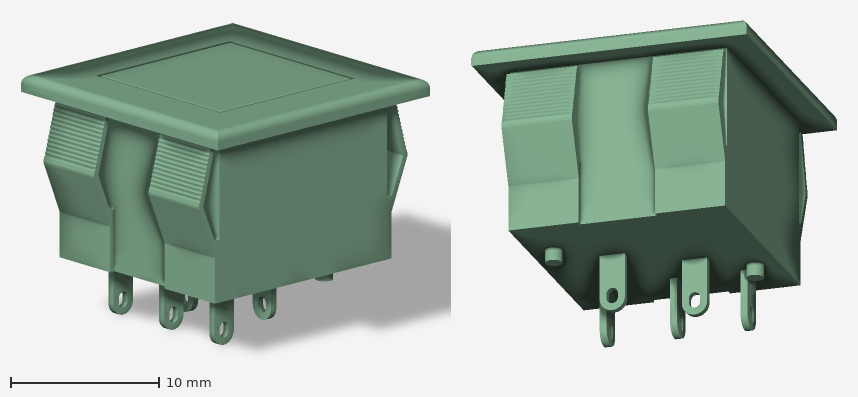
import cadquery as cq
import math


bezel_side = 19.5
bezel_thickness = 1.2
bezel_edge_radius = 0.6
button_side = 12.2
button_gap = 0.1
button_edge_radius = 0.25

housing_side = 15.4
housing_height = 11.5
half_housing = housing_side / 2
housing_bottom = -housing_height

clip_width = 5.0
clip_thickness = 0.4
clip_foot_y = half_housing + clip_thickness
clip_foot_z = -8.3
clip_peak_y = 9.6
clip_peak_z = -4.45
clip_tip_y = 8.52
clip_tip_z = -0.4
slot_floor_z = -7.1
slot_corner_radius = 0.15

groove_count = 13
groove_pitch = 0.3
groove_depth = 0.065

peg_diameter = 1.2
peg_length = 0.9
peg_x = 6.0
peg_y = 3.5

terminal_length = 4.0
terminal_width = 1.8
terminal_thickness = 0.5
terminal_hole_width = 0.8
terminal_hole_length = 1.1
contact_pitch = 5.0
contact_y = -5.0
lamp_x = 2.5
lamp_y = 1.27


def make_clip():
    """One clip on the +Y face, flush with the housing's +X face."""
    leaf_length = math.hypot(clip_peak_y - clip_tip_y, clip_tip_z - clip_peak_z)
    leaf_sin = (clip_peak_y - clip_tip_y) / leaf_length
    leaf_cos = (clip_tip_z - clip_peak_z) / leaf_length

    def on_leaf(distance, depth):
        y = clip_tip_y + distance * leaf_sin - depth * leaf_cos
        z = clip_tip_z - distance * leaf_cos - depth * leaf_sin
        return y, z

    grooved_face = [on_leaf(0, 0)]
    for i in range(groove_count):
        grooved_face.append(on_leaf((i + 0.5) * groove_pitch, groove_depth))
        grooved_face.append(on_leaf((i + 1) * groove_pitch, 0))

    peak = (clip_peak_y, clip_peak_z)
    blunt_end = on_leaf(leaf_length + groove_pitch / 2, groove_depth)

    lower_slope = (blunt_end[0] - clip_foot_y) / (blunt_end[1] - clip_foot_z)
    inner_foot_y = clip_foot_y - clip_thickness * math.hypot(1, lower_slope)

    def lower_inner_point(z):
        return inner_foot_y + (z - clip_foot_z) * lower_slope, z

    upper_slope = leaf_sin / leaf_cos
    inner_tip_y, inner_tip_z = on_leaf(0, clip_thickness)
    inner_peak_z = (
        inner_tip_y + inner_tip_z * upper_slope - inner_foot_y + clip_foot_z * lower_slope
    ) / (lower_slope + upper_slope)

    slot_outer_corner = lower_inner_point(slot_floor_z)
    outline = [
        (half_housing, housing_bottom),
        (clip_foot_y, housing_bottom),
        (clip_foot_y, clip_foot_z),
        blunt_end,
        peak,
        *reversed(grooved_face),
        (inner_tip_y, inner_tip_z),
        lower_inner_point(inner_peak_z),
        slot_outer_corner,
        (half_housing, slot_floor_z),
    ]
    clip = (
        cq.Workplane("YZ", origin=(half_housing - clip_width, 0, 0))
        .polyline(outline)
        .close()
        .extrude(clip_width)
    )
    return clip, slot_outer_corner


def make_housing():
    """Housing block with four spring clips and two locating pegs."""
    block = (
        cq.Workplane("XY")
        .workplane(offset=housing_bottom)
        .rect(housing_side, housing_side)
        .extrude(housing_height)
    )

    clip, slot_outer_corner = make_clip()
    clip_pair = clip.union(clip.mirror("YZ"))
    block = block.union(clip_pair).union(clip_pair.mirror("XZ"))

    corner_ys = (half_housing, slot_outer_corner[0])
    reach = slot_corner_radius / 2
    for side in (-1, 1):
        for corner_y in corner_ys:
            corner_box = cq.selectors.BoxSelector(
                (-housing_side, side * corner_y - reach, slot_floor_z - reach),
                (housing_side, side * corner_y + reach, slot_floor_z + reach),
            )
            block = block.edges("|X").edges(corner_box).fillet(slot_corner_radius)

    pegs = (
        cq.Workplane("XY")
        .workplane(offset=housing_bottom)
        .pushPoints([(-peg_x, -peg_y), (peg_x, peg_y)])
        .circle(peg_diameter / 2)
        .extrude(-peg_length)
    )
    return block.union(pegs)


def make_bezel():
    """Square frame with a rounded outer top edge, seated on the housing."""
    opening_side = button_side + 2 * button_gap
    return (
        cq.Workplane("XY")
        .rect(bezel_side, bezel_side)
        .extrude(bezel_thickness)
        .faces(">Z")
        .edges()
        .fillet(bezel_edge_radius)
        .faces("<Z")
        .workplane()
        .rect(opening_side, opening_side)
        .cutThruAll()
    )


def make_button():
    """Square button in the bezel opening, resting on the housing."""
    return (
        cq.Workplane("XY")
        .rect(button_side, button_side)
        .extrude(bezel_thickness)
        .edges(">Z or |Z")
        .fillet(button_edge_radius)
    )


def make_terminal(x, y, turn):
    """Flat lug with a round end and a slotted eye; turn is its angle about Z."""
    end_radius = terminal_width / 2
    shank_length = terminal_length - end_radius
    eye_centre_distance = terminal_hole_length - terminal_hole_width
    lug = (
        cq.Workplane("XZ")
        .moveTo(-end_radius, 0)
        .lineTo(-end_radius, -shank_length)
        .threePointArc((0, -terminal_length), (end_radius, -shank_length))
        .lineTo(end_radius, 0)
        .close()
        .extrude(terminal_thickness / 2, both=True)
    )
    eye = (
        cq.Workplane("XZ")
        .center(0, eye_centre_distance / 2 - shank_length)
        .slot2D(terminal_hole_length, terminal_hole_width, 90)
        .extrude(terminal_thickness, both=True)
    )
    return lug.cut(eye).rotate((0, 0, 0), (0, 0, 1), turn).translate((x, y, housing_bottom))


housing = make_housing()
bezel = make_bezel()
button = make_button()
contact_terminals = [make_terminal(i * contact_pitch, contact_y, 90) for i in (-1, 0, 1)]
lamp_terminals = [make_terminal(side * lamp_x, side * lamp_y, 0) for side in (-1, 1)]

terminals = contact_terminals + lamp_terminals
result = cq.Compound.makeCompound(
    [housing.val(), bezel.val(), button.val(), *[terminal.val() for terminal in terminals]]
)